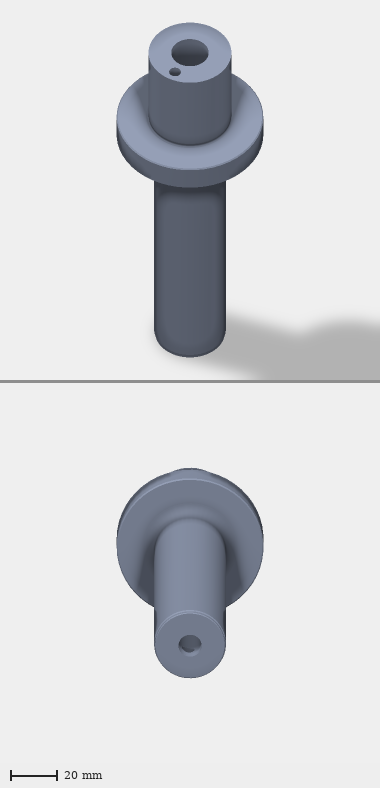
import cadquery as cq
import math

total_height = 176.0
collar_radius = 31.77
collar_top = 136.0
collar_thickness = 12.0
collar_bottom = collar_top - collar_thickness
collar_chamfer = 0.5
spigot_radius = 18.0
shank_diameter = 31.2
shank_radius = shank_diameter / 2
shank_fillet = 5.0

shank_chamfer = 0.44

ring_radius = 15.1
ring_height = 2.0
ring_chamfer = 0.4

undercut_height = 1.4
undercut_width = 1.0
undercut_depth = 0.2
undercut_radius = 0.5

bore_radius = 8.1
bore_depth = 40.0
passage_radius = 5.02
bore_cone_angle = math.radians(118)

pin_hole_radius = 2.55
pin_hole_depth = 8.8
pin_hole_cone_angle = math.radians(140)
pin_hole_offset = 13.2

clamp_hole_radius = 5.8
clamp_hole_height = 151.7
shank_hole_radius = 2.8
shank_hole_height = 8.0


def cone_height(radius_change, cone_angle):
    """Height over which a cone of the given full angle changes its radius."""
    return radius_change / math.tan(cone_angle / 2)


def turned_body():
    """Solid of revolution with collar, shank fillet, end chamfer and undercut."""
    fillet_centre_radius = shank_radius + shank_fillet
    fillet_centre_height = collar_bottom - shank_fillet
    fillet_diagonal = shank_fillet * math.sqrt(0.5)
    neck_radius = spigot_radius - undercut_depth
    undercut_floor = collar_top - undercut_depth
    undercut_centre_radius = neck_radius + undercut_radius
    undercut_centre_height = undercut_floor + undercut_radius
    undercut_diagonal = undercut_radius * math.sqrt(0.5)
    profile = (
        cq.Workplane("XZ")
        .moveTo(0, ring_height)
        .lineTo(shank_radius - shank_chamfer, ring_height)
        .lineTo(shank_radius, ring_height + shank_chamfer)
        .lineTo(shank_radius, fillet_centre_height)
        .threePointArc(
            (fillet_centre_radius - fillet_diagonal, fillet_centre_height + fillet_diagonal),
            (fillet_centre_radius, collar_bottom),
        )
        .lineTo(collar_radius - collar_chamfer, collar_bottom)
        .lineTo(collar_radius, collar_bottom + collar_chamfer)
        .lineTo(collar_radius, collar_top - collar_chamfer)
        .lineTo(collar_radius - collar_chamfer, collar_top)
        .lineTo(spigot_radius + undercut_width, collar_top)
        .lineTo(undercut_centre_radius, undercut_floor)
        .threePointArc(
            (undercut_centre_radius - undercut_diagonal, undercut_centre_height - undercut_diagonal),
            (neck_radius, undercut_centre_height),
        )
        .lineTo(spigot_radius, collar_top + undercut_height)
        .lineTo(spigot_radius, total_height)
        .lineTo(0, total_height)
        .close()
    )
    return profile.revolve(360, (0, 0, 0), (0, 1, 0))


def axial_bore():
    """Cutter for the stepped bore along the axis."""
    cone_top = total_height - bore_depth
    cone_bottom = cone_top - cone_height(bore_radius - passage_radius, bore_cone_angle)
    return (
        cq.Workplane("XZ")
        .moveTo(0, 0)
        .lineTo(passage_radius, 0)
        .lineTo(passage_radius, cone_bottom)
        .lineTo(bore_radius, cone_top)
        .lineTo(bore_radius, total_height)
        .lineTo(0, total_height)
        .close()
        .revolve(360, (0, 0, 0), (0, 1, 0))
    )


def pin_hole():
    """Cutter for the blind hole in the top face, with a drill-point bottom."""
    cone_top = total_height - pin_hole_depth
    return (
        cq.Workplane("XZ")
        .moveTo(0, cone_top - cone_height(pin_hole_radius, pin_hole_cone_angle))
        .lineTo(pin_hole_radius, cone_top)
        .lineTo(pin_hole_radius, total_height)
        .lineTo(0, total_height)
        .close()
        .revolve(360, (0, 0, 0), (0, 1, 0))
        .translate((0, -pin_hole_offset, 0))
    )


def cross_hole(radius, height):
    """Cutter for a hole from the axis out through the +Y side."""
    return cq.Workplane("XZ", origin=(0, 0, height)).circle(radius).extrude(-collar_radius)


def end_ring():
    """Ring under the shank, open over the passage and chamfered at its lower rim."""
    ring = cq.Workplane("XY").circle(ring_radius).extrude(ring_height).faces("<Z").chamfer(ring_chamfer)
    return ring.faces("<Z").workplane().hole(2 * passage_radius)


arbor = (
    turned_body()
    .cut(axial_bore())
    .cut(pin_hole())
    .cut(cross_hole(clamp_hole_radius, clamp_hole_height))
    .cut(cross_hole(shank_hole_radius, shank_hole_height))
)

ring = end_ring()

result = cq.Compound.makeCompound([arbor.val(), ring.val()])